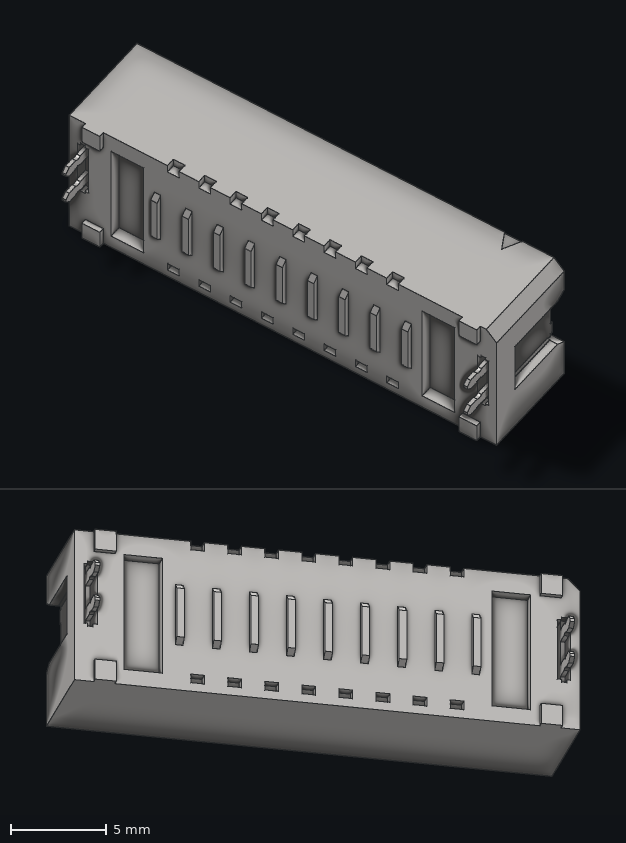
import cadquery as cq

LENGTH = 27.3
HEIGHT = 8.6
DEPTH = 6.22
HALF_LENGTH = LENGTH / 2
HALF_HEIGHT = HEIGHT / 2
KEY_CHAMFER = 0.65
STANDOFF = 0.33

FOOT_SIZE = 1.15
FOOT_INSET = 1.05

RIB_COUNT = 9
PITCH = 2.0
RIB_WIDTH = 0.4
RIB_LENGTH = 3.45
RECESS_WIDTH = 0.75
RECESS_HEIGHT = 0.5
RECESS_DEPTH = 0.55
LOWER_RECESS_INSET = 0.5

POCKET_WIDTH = 2.07
POCKET_INSET = 2.68
POCKET_DEPTH = 0.75
POCKET_TOP_INSET = 1.15
POCKET_BOTTOM_INSET = 0.87

ARROW_WIDTH = 1.15
ARROW_LENGTH = 1.1
ARROW_INSET = 3.25
ARROW_DEPTH = 0.08

SLOT_INSET = 0.52
SLOT_WIDTH = 0.7
SLOT_HEIGHT = 3.4
GROOVE_WIDTH = 0.3

WINDOW_HEIGHT = 3.33
WINDOW_START = 1.7
FLARE_LENGTH = 0.63
FLARE_RISE = 0.35

PLATE_THICKNESS = 0.25
PLATE_INSET = 0.7
PLATE_HEIGHT = 3.7
PLATE_FRONT = 0.5
PLATE_RECESS = 0.25
PRONG_HEIGHT = 0.8
PRONG_RECESS = 0.08
LEG_HEIGHT = 0.68
LEG_REACH = 1.67
LEG_TIP_LENGTH = 0.3
LEG_TIP_HEIGHT = 0.16
NECK_START = 0.35
NECK_LENGTH = 0.4
NECK_DEPTH = 0.08

LEFT_END = -1
RIGHT_END = 1
CLIP_Z = {LEFT_END: 0.7, RIGHT_END: 0.2}


def box(x_range, y_range, z_range):
    """Box spanning the given (low, high) ranges."""
    (x0, x1), (y0, y1), (z0, z1) = x_range, y_range, z_range
    return cq.Workplane("XY").box(x1 - x0, y1 - y0, z1 - z0, centered=False).translate((x0, y0, z0))


def end_range(end, inset, width):
    """X range of a feature that starts a given inset from one end of the housing."""
    outer = end * (HALF_LENGTH - inset)
    inner = outer - end * width
    return min(outer, inner), max(outer, inner)


def centred_range(centre, size):
    return centre - size / 2, centre + size / 2


def make_feet():
    feet = cq.Workplane("XY")
    for end in (LEFT_END, RIGHT_END):
        for z_centre in (HALF_HEIGHT - FOOT_SIZE / 2, FOOT_SIZE / 2 - HALF_HEIGHT):
            foot = box(
                end_range(end, FOOT_INSET, FOOT_SIZE),
                (-STANDOFF, 0),
                centred_range(z_centre, FOOT_SIZE),
            )
            feet = feet.add(foot)
    return feet


def make_ribs():
    """Upright ribs whose top and bottom ends slope at 45 degrees."""
    base_half = RIB_LENGTH / 2
    crest_half = base_half - STANDOFF
    ribs = cq.Workplane("XY")
    for index in range(RIB_COUNT):
        x_centre = (index - (RIB_COUNT - 1) / 2) * PITCH
        rib = (
            cq.Workplane("YZ")
            .polyline([(0, -base_half), (-STANDOFF, -crest_half), (-STANDOFF, crest_half), (0, base_half)])
            .close()
            .extrude(RIB_WIDTH / 2, both=True)
            .translate((x_centre, 0, 0))
        )
        ribs = ribs.add(rib)
    return ribs


def make_recesses():
    """Square recesses between the ribs: open at the top edge, closed near the bottom edge."""
    upper_z = HALF_HEIGHT - RECESS_HEIGHT / 2
    lower_z = LOWER_RECESS_INSET + RECESS_HEIGHT / 2 - HALF_HEIGHT
    recess_count = RIB_COUNT - 1
    recesses = cq.Workplane("XY")
    for index in range(recess_count):
        x_centre = (index - (recess_count - 1) / 2) * PITCH
        for z_centre in (upper_z, lower_z):
            recess = box(
                centred_range(x_centre, RECESS_WIDTH),
                (0, RECESS_DEPTH),
                centred_range(z_centre, RECESS_HEIGHT),
            )
            recesses = recesses.add(recess)
    return recesses


def make_pocket(end):
    return box(
        end_range(end, POCKET_INSET, POCKET_WIDTH),
        (0, POCKET_DEPTH),
        (POCKET_BOTTOM_INSET - HALF_HEIGHT, HALF_HEIGHT - POCKET_TOP_INSET),
    )


def make_arrow():
    x_centre = HALF_LENGTH - ARROW_INSET
    return (
        cq.Workplane("XY", origin=(x_centre, DEPTH, HALF_HEIGHT))
        .polyline([(-ARROW_WIDTH / 2, 0), (ARROW_WIDTH / 2, 0), (0, -ARROW_LENGTH)])
        .close()
        .extrude(-ARROW_DEPTH)
    )


def make_slot(end):
    """Slot through the whole depth, with the grooves at its upper and lower ends."""
    z_centre = CLIP_Z[end]
    slot = box(
        end_range(end, SLOT_INSET, SLOT_WIDTH),
        (0, DEPTH),
        centred_range(z_centre, SLOT_HEIGHT),
    )
    grooves = box(
        end_range(end, PLATE_INSET, GROOVE_WIDTH),
        (0, DEPTH),
        centred_range(z_centre, PLATE_HEIGHT),
    )
    return slot.union(grooves)


def make_window(end):
    """Opening from the end face to the inner wall of the slot, baring the hold-down."""
    half = WINDOW_HEIGHT / 2
    flared_half = half + FLARE_RISE
    flare_start = DEPTH - FLARE_LENGTH
    cut_depth = SLOT_INSET + SLOT_WIDTH
    cut_start = end_range(end, 0, cut_depth)[0]
    return (
        cq.Workplane("YZ", origin=(cut_start, 0, CLIP_Z[end]))
        .moveTo(WINDOW_START, -half)
        .lineTo(flare_start, -half)
        .lineTo(DEPTH, -flared_half)
        .lineTo(DEPTH, flared_half)
        .lineTo(flare_start, half)
        .lineTo(WINDOW_START, half)
        .close()
        .extrude(cut_depth)
    )


def make_leg(end, z_centre):
    """Solder leg with a rounded notch on both edges and a tapered tip."""
    half = LEG_HEIGHT / 2
    tip_half = LEG_TIP_HEIGHT / 2
    neck_half = half - NECK_DEPTH
    neck_near = -NECK_START
    neck_middle = neck_near - NECK_LENGTH / 2
    neck_far = neck_near - NECK_LENGTH
    taper_start = LEG_TIP_LENGTH - LEG_REACH
    plate_start = end_range(end, PLATE_INSET, PLATE_THICKNESS)[0]
    return (
        cq.Workplane("YZ", origin=(plate_start, 0, z_centre))
        .moveTo(PLATE_FRONT, half)
        .lineTo(neck_near, half)
        .threePointArc((neck_middle, neck_half), (neck_far, half))
        .lineTo(taper_start, half)
        .lineTo(-LEG_REACH, tip_half)
        .lineTo(-LEG_REACH, -tip_half)
        .lineTo(taper_start, -half)
        .lineTo(neck_far, -half)
        .threePointArc((neck_middle, -neck_half), (neck_near, -half))
        .lineTo(PLATE_FRONT, -half)
        .close()
        .extrude(PLATE_THICKNESS)
    )


def make_hold_down(end):
    """Flat plate with two solder legs at the front and two short prongs at the back."""
    z_centre = CLIP_Z[end]
    x_range = end_range(end, PLATE_INSET, PLATE_THICKNESS)
    plate_back = DEPTH - PLATE_RECESS
    hold_down = box(x_range, (PLATE_FRONT, plate_back), centred_range(z_centre, PLATE_HEIGHT))
    prong_offset = (WINDOW_HEIGHT - PRONG_HEIGHT) / 2
    for side in (-1, 1):
        prong_z = z_centre + side * prong_offset
        prong = box(x_range, (plate_back, DEPTH - PRONG_RECESS), centred_range(prong_z, PRONG_HEIGHT))
        leg = make_leg(end, z_centre + side * PITCH / 2)
        hold_down = hold_down.union(prong).union(leg)
    return hold_down


def make_housing():
    """Housing block; the hold-down at the +X end is one piece with it."""
    housing = box((-HALF_LENGTH, HALF_LENGTH), (0, DEPTH), (-HALF_HEIGHT, HALF_HEIGHT))
    housing = housing.edges("|Y and >X and >Z").chamfer(KEY_CHAMFER)
    for feature in make_feet().vals() + make_ribs().vals():
        housing = housing.union(cq.Workplane(feature))
    for feature in make_recesses().vals():
        housing = housing.cut(cq.Workplane(feature))
    housing = housing.cut(make_arrow())
    for end in (LEFT_END, RIGHT_END):
        housing = housing.cut(make_pocket(end)).cut(make_slot(end)).cut(make_window(end))
    return housing.union(make_hold_down(RIGHT_END))


housing = make_housing()
hold_down = make_hold_down(LEFT_END)

result = cq.Compound.makeCompound([housing.val(), hold_down.val()])